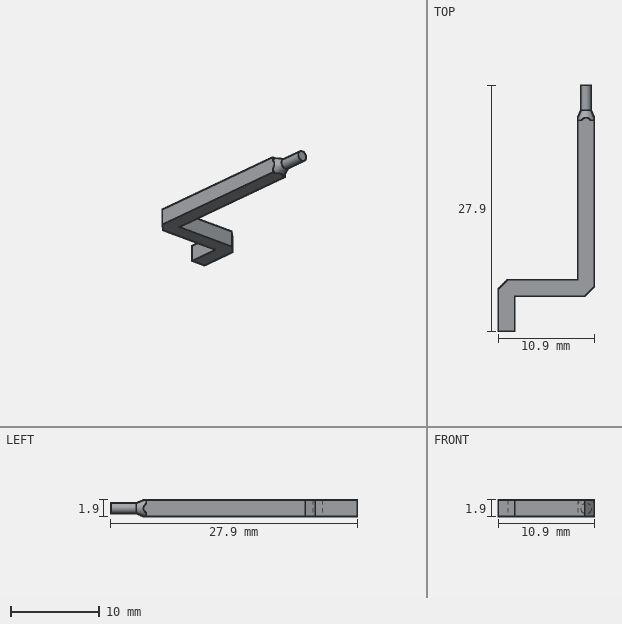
import cadquery as cq

bar = 1.9
overall_x = 10.9
overall_y = 27.9
foot_length = 4.0
corner_cut = 1.1

pin_diameter = 1.2
pin_length = 2.87
cone_length = 1.12
cone_base_diameter = 2.18

pin_start = overall_y - pin_length
shoulder = pin_start - cone_length
long_leg_axis = overall_x - bar / 2
crossbar_top = foot_length + bar


def bent_bar():
    """Z-shaped bar with its two outer corners cut off."""
    outline = [
        (0, 0),
        (bar, 0),
        (bar, foot_length),
        (overall_x - corner_cut, foot_length),
        (overall_x, foot_length + corner_cut),
        (overall_x, shoulder),
        (overall_x - bar, shoulder),
        (overall_x - bar, crossbar_top),
        (corner_cut, crossbar_top),
        (0, crossbar_top - corner_cut),
    ]
    return cq.Workplane("XY").polyline(outline).close().extrude(bar / 2, both=True)


def tapered_pin():
    """Cone and pin turned about the long leg axis, trimmed to the bar section."""
    profile = [
        (0, shoulder),
        (cone_base_diameter / 2, shoulder),
        (pin_diameter / 2, pin_start),
        (pin_diameter / 2, overall_y),
        (0, overall_y),
    ]
    turned = cq.Workplane("XY").polyline(profile).close().revolve(360, (0, 0), (0, 1))
    envelope = cq.Workplane("XY").box(bar, 2 * overall_y, bar)
    return turned.intersect(envelope).translate((long_leg_axis, 0, 0))


result = bent_bar().union(tapered_pin())